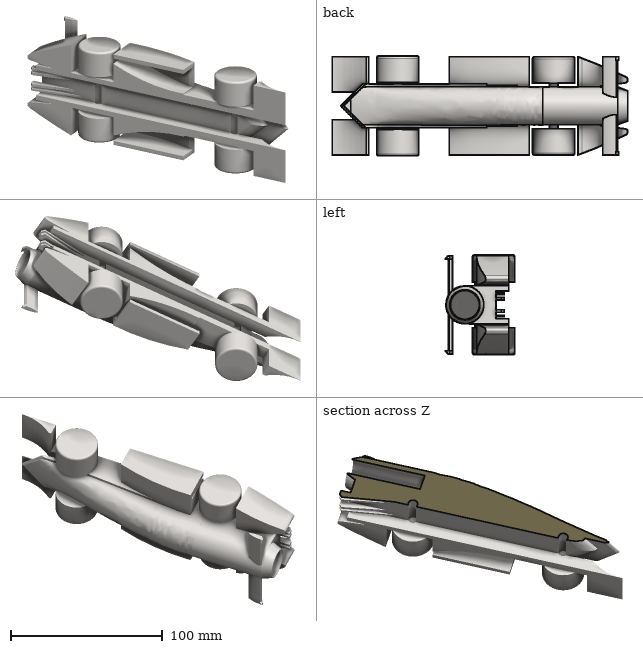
import cadquery as cq
import math


car_length = 195.1
half_width = 32.5

tube_axis_y = 29.0
tube_radius = 12.5
tube_start = 6.6
tube_end = 56.0
tail_cone_radius = 10.0
cartridge_diameter = 19.0
cartridge_depth = 50.0

channel_half_width = 9.1
channel_height = 8.3
rail_half_width = 14.6
rail_overlap = 1.0
slab_top = 22.4
slab_slope_start = 73.0
slab_slope_end = 165.0

nose_plate_bottom = 12.8
nose_plate_top = 15.0
nose_plate_tip = 189.5
nose_bevel_length = 2.0
nose_bevel_height = 0.7
chin_start = 164.4
chin_tip = 174.4
plate_sweep = 1.0
chin_sweep = 1.1

cover_half_width = tube_radius
cover_bottom = 13.5
well_ledge = 15.3
cover_stations = [
    (tube_end, tube_axis_y, tube_axis_y + tube_radius),
    (64.0, 28.7, 41.3),
    (73.0, 28.3, 41.0),
    (82.0, 27.3, 40.1),
    (90.0, 26.0, 38.7),
    (115.0, 22.0, 33.7),
    (149.0, 16.4, 24.3),
    (168.0, 15.2, 18.7),
    (183.0, 14.6, 15.0),
]

fairing_end = 33.0
fairing_rear_height = 15.3
fairing_mid = (13.0, 19.2)
fairing_top = 21.2
tail_tip = 17.0
tail_inner = (2.4, 15.0)
tail_outer = (2.0, 19.5)
tail_taper = 0.13
tail_flare = 0.46
fairing_side_mid = (16.0, 25.8)
gap_end = 18.0
gap_end_width = 0.5

pod_start = 65.0
pod_end = 117.9
pod_end_height = 15.1
pod_mid = (95.0, 20.5)
pod_skin = 2.9
pod_lip_start = 114.9
pod_lip_height = 12.9
pod_wall_start = 25.8
pod_wall_mid = (90.0, 17.9)
pod_wall_end = 15.4

front_wing_start = 170.9
front_wing_curve_start = 172.7
front_wing_mid = (181.5, 2.9)
front_wing_edge = 0.2

diffuser_fins = [(6.7, 1.3, 36.4), (3.2, 1.8, 31.1)]
fin_low_y = 2.9
fin_rear_low_y = 5.0
fin_low_x = 1.8

wheel_diameter = 28.0
wheel_width = 17.5
wheel_fillet = 1.5
axle_diameter = 6.0
axle_height = 10.0
stub_length = 4.0
rear_wheel = (48.9, 15.0)
front_wheel = (151.8, 15.5)

wing_bottom = 37.1
wing_top = 40.1
wing_nose_y = 39.2
wing_trail = 16.6
wing_trail_low = 37.7
wing_trail_high = 38.2
wing_flat_start = 7.6
wing_flat_end = 13.5
wing_root_z = 5.3
horn_inner_z = 30.2
horn_x = 5.9
wing_crown = (12.0, 39.7)
horn_front_x = 8.0
horn_bottom = 39.0
horn_top = 42.0


def box_between(x0, x1, y0, y1, z0, z1):
    return cq.Workplane("XY").box(x1 - x0, y1 - y0, z1 - z0, centered=False).translate((x0, y0, z0))


def both_sides(shape):
    """The shape and its mirror image across the car's middle plane."""
    return shape.union(shape.mirror("XY"))


def plan_prism(outline, height):
    """Raises an outline drawn in X and Z from the underside to a height."""
    return outline.close().extrude(-height)


def make_tube_block():
    """Tube, its conical tail and the block that fills the space below it."""
    tube = (
        cq.Workplane("XY")
        .moveTo(0, tube_axis_y)
        .lineTo(0, tube_axis_y + tail_cone_radius)
        .lineTo(tube_start, tube_axis_y + tube_radius)
        .lineTo(tube_end, tube_axis_y + tube_radius)
        .lineTo(tube_end, tube_axis_y)
        .close()
        .revolve(360, (0, tube_axis_y, 0), (1, tube_axis_y, 0))
    )
    block = box_between(tube_start, tube_end, 0, tube_axis_y, -tube_radius, tube_radius)
    under_cover = box_between(tube_end, pod_start, 0, well_ledge, -tube_radius, tube_radius)
    return tube.union(block).union(under_cover)


def make_slab_base():
    """Solid lower part of the wide middle slab; the channel splits it into two rails."""
    return box_between(pod_start, front_wing_start, 0, channel_height, -rail_half_width, rail_half_width)


def make_chin():
    """Middle layer of the slab, ending in the pointed and rounded chin."""
    chin = box_between(
        pod_start, car_length, channel_height, nose_plate_bottom, -rail_half_width, rail_half_width
    )
    curve_run = chin_tip - chin_start
    curve_rise = nose_plate_bottom - channel_height
    curve_points = []
    for step in range(0, 91, 15):
        angle = math.radians(step)
        x = chin_start + curve_run * math.sin(angle)
        curve_points.append((x, nose_plate_bottom - curve_rise * math.cos(angle)))
    side_view = (
        cq.Workplane("XY")
        .moveTo(-car_length, nose_plate_bottom)
        .lineTo(-car_length, channel_height)
        .lineTo(chin_start, channel_height)
        .spline(curve_points[1:], includeCurrent=True)
        .close()
    )
    return point_in_plan(chin, side_view, chin_sweep)


def make_nose_plate():
    """Sloping upper layer of the slab with the engine cover, ending in the bevelled nose tip."""
    slab = (
        cq.Workplane("XY", origin=(0, 0, -rail_half_width))
        .moveTo(pod_start, nose_plate_bottom)
        .lineTo(pod_start, slab_top)
        .lineTo(slab_slope_start, slab_top)
        .lineTo(slab_slope_end, nose_plate_top)
        .lineTo(car_length, nose_plate_top)
        .lineTo(car_length, nose_plate_bottom)
        .close()
        .extrude(2 * rail_half_width)
    )
    bevel_start = nose_plate_tip - nose_bevel_length
    roof = tube_axis_y + 2 * tube_radius
    side_view = (
        cq.Workplane("XY")
        .moveTo(-car_length, nose_plate_bottom)
        .lineTo(bevel_start, nose_plate_bottom)
        .lineTo(nose_plate_tip, nose_plate_bottom + nose_bevel_height)
        .lineTo(nose_plate_tip, nose_plate_top - nose_bevel_height)
        .lineTo(bevel_start, nose_plate_top)
        .lineTo(bevel_start, roof)
        .lineTo(-car_length, roof)
        .close()
    )
    return point_in_plan(slab.union(make_cover()), side_view, plate_sweep)


def point_in_plan(shape, side_view, sweep):
    """Trims a shape to a V in plan; the side view is its outline on the middle plane.

    The outline is swept obliquely, falling back along X on one side of the car and
    then on the other, and the shape is kept where both sweeps overlap.
    """
    reach = 2 * rail_half_width
    for side in (1, -1):
        start = cq.Vector(sweep * reach, 0, -side * reach)
        face = cq.Face.makeFromWires(side_view.wires().val()).translate(start)
        shape = shape.intersect(cq.Workplane(cq.Solid.extrudeLinear(face, start * -2)))
    return shape


def make_cover():
    """Engine cover lofted through arched sections that sink toward the nose."""
    cover = cq.Workplane("YZ")
    last_x = 0
    for x, shoulder, top in cover_stations:
        rise = top - shoulder
        arch = [
            (shoulder + rise * math.cos(a), cover_half_width * math.sin(a))
            for a in [math.radians(step) for step in range(-90, 91, 30)]
        ]
        arch.append((cover_bottom, cover_half_width))
        cover = (
            cover.workplane(offset=x - last_x)
            .moveTo(cover_bottom, -cover_half_width)
            .spline(arch, includeCurrent=True)
            .close()
        )
        last_x = x
    return cover.loft(combine=True)


def make_fairing():
    """Rear fairing: tapers to a rounded tail with a narrow gap beside the tube."""
    plan = (
        cq.Workplane("XZ")
        .moveTo(fairing_end, tube_radius - rail_overlap)
        .lineTo(gap_end, tube_radius - rail_overlap)
        .lineTo(gap_end, tube_radius + gap_end_width)
        .lineTo(*tail_inner)
        .spline([tail_inner, (0, tail_tip), tail_outer], tangents=[(-1, tail_taper), (1, tail_flare)])
        .threePointArc(fairing_side_mid, (fairing_end, half_width))
    )
    roof = (
        cq.Workplane("XY")
        .lineTo(0, fairing_rear_height)
        .threePointArc(fairing_mid, (fairing_end, fairing_top))
        .lineTo(fairing_end, 0)
        .close()
        .extrude(half_width)
    )
    return plan_prism(plan, fairing_top).intersect(roof)


def make_sidepod():
    """Sidepod: curved inner wall, roof skin and outer plate around an open hollow."""
    shell = (
        cq.Workplane("XY")
        .moveTo(pod_start, 0)
        .lineTo(pod_start, slab_top)
        .threePointArc(pod_mid, (pod_end, pod_end_height))
        .lineTo(pod_end, 0)
        .close()
        .extrude(half_width)
    )
    hollow = (
        cq.Workplane("XY")
        .moveTo(pod_start, 0)
        .lineTo(pod_start, slab_top - pod_skin)
        .threePointArc((pod_mid[0], pod_mid[1] - pod_skin), (pod_lip_start, pod_lip_height))
        .lineTo(pod_end, pod_lip_height)
        .lineTo(pod_end, 0)
        .close()
        .extrude(half_width - pod_skin)
    )
    wall = plan_prism(
        cq.Workplane("XZ")
        .moveTo(pod_start, 0)
        .lineTo(pod_start, pod_wall_start)
        .threePointArc(pod_wall_mid, (pod_end, pod_wall_end))
        .lineTo(pod_end, 0),
        slab_top,
    )
    inner_limit = box_between(pod_start, pod_end, 0, slab_top, 0, rail_half_width - rail_overlap)
    return shell.cut(hollow.cut(wall)).cut(inner_limit)


def make_front_wing():
    """Front wing with a hollow top that thins to the leading edge."""
    return (
        cq.Workplane("XY", origin=(0, 0, channel_half_width))
        .moveTo(front_wing_start, 0)
        .lineTo(front_wing_start, channel_height)
        .lineTo(front_wing_curve_start, channel_height)
        .threePointArc(front_wing_mid, (car_length, front_wing_edge))
        .lineTo(car_length, 0)
        .close()
        .extrude(half_width - channel_half_width)
    )


def make_fin(inner_z, thickness, front_x):
    """Tapered diffuser fin hanging from the channel roof."""
    return (
        cq.Workplane("XY", origin=(0, 0, inner_z))
        .moveTo(0, fin_rear_low_y)
        .lineTo(fin_low_x, fin_low_y)
        .lineTo(front_x, channel_height)
        .lineTo(tube_start + 1, channel_height + 1)
        .lineTo(tube_start, channel_height)
        .lineTo(0, channel_height)
        .close()
        .extrude(thickness)
    )


def make_car_body():
    body = make_tube_block().union(make_slab_base()).union(make_chin()).union(make_nose_plate())
    channel = box_between(0, car_length, 0, channel_height, -channel_half_width, channel_half_width)
    body = body.cut(channel)
    for feature in (make_fairing(), make_sidepod(), make_front_wing()):
        body = body.union(both_sides(feature))
    for fin in diffuser_fins:
        body = body.union(both_sides(make_fin(*fin)))
    cartridge_hole = (
        cq.Workplane("YZ").center(tube_axis_y, 0).circle(cartridge_diameter / 2).extrude(cartridge_depth)
    )
    body = body.cut(cartridge_hole)
    for axle_x, _ in (rear_wheel, front_wheel):
        axle_hole = (
            cq.Workplane("XY", origin=(axle_x, axle_height, -rail_half_width))
            .circle(axle_diameter / 2)
            .extrude(2 * rail_half_width)
        )
        body = body.cut(axle_hole)
    return body


def make_wheel(axle_x, inner_z):
    """Wheel with a rounded outer rim and a stub axle that enters the body."""
    rim = (
        cq.Workplane("XY", origin=(axle_x, axle_height, inner_z))
        .circle(wheel_diameter / 2)
        .extrude(wheel_width)
        .faces(">Z")
        .edges()
        .fillet(wheel_fillet)
    )
    stub = (
        cq.Workplane("XY", origin=(axle_x, axle_height, inner_z - stub_length))
        .circle(axle_diameter / 2)
        .extrude(stub_length)
    )
    return rim.union(stub)


def make_rear_wing_half():
    """Half of the rear wing, trimmed to the tube, with an upswept horn at its tip."""
    blade = (
        cq.Workplane("XY", origin=(0, 0, wing_root_z))
        .moveTo(wing_flat_start, wing_bottom)
        .lineTo(wing_flat_end, wing_bottom)
        .lineTo(wing_trail, wing_trail_low)
        .lineTo(wing_trail, wing_trail_high)
        .threePointArc(wing_crown, (wing_flat_start, wing_top))
        .lineTo(tube_start, wing_nose_y)
        .close()
        .extrude(half_width - wing_root_z)
    )
    horn = (
        cq.Workplane("XY", origin=(0, 0, horn_inner_z))
        .polyline([(horn_x, horn_top), (horn_x, horn_bottom), (wing_flat_start, wing_bottom), (horn_front_x, wing_top)])
        .close()
        .workplane(offset=half_width - horn_inner_z)
        .polyline([(horn_x, wing_top), (horn_x, horn_bottom), (wing_flat_start, wing_bottom), (horn_front_x, wing_top)])
        .close()
        .loft(combine=True)
    )
    tube = cq.Workplane("YZ").center(tube_axis_y, 0).circle(tube_radius).extrude(tube_end)
    return blade.union(horn).cut(tube)


car_body = make_car_body()

wheels = []
for place in (rear_wheel, front_wheel):
    wheel = make_wheel(*place)
    wheels += [wheel.val(), wheel.mirror("XY").val()]

wing_half = make_rear_wing_half()
wing_halves = [wing_half.val(), wing_half.mirror("XY").val()]

result = cq.Compound.makeCompound([car_body.val(), *wheels, *wing_halves])